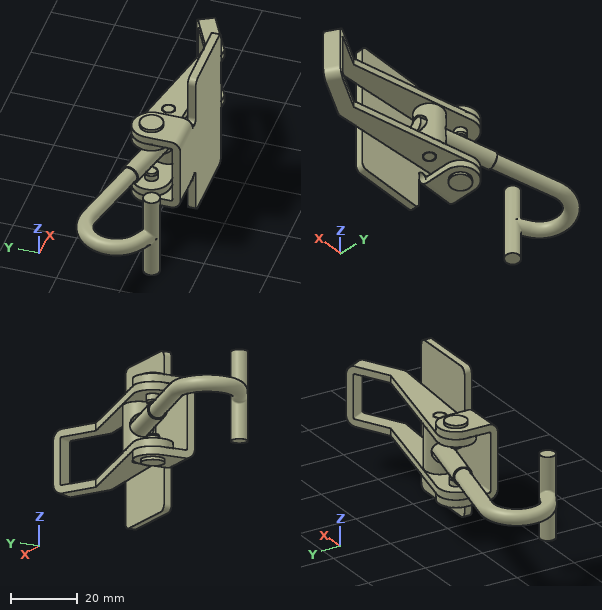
import math

import cadquery as cq

overall_length = 106.1
sheet = 2.5
bend_radius = 3.2
inner_bend_radius = bend_radius - sheet
ear_radius = 6.0

plate_height = 50.0
plate_start_x = 9.0
plate_end_x = 34.0
plate_corner_radius = 2.0
bracket_back_y = -11.0

lever_width = 20.0
knee_x = 43.7
knee_y = -9.0
handle_angle = 28.0
handle_width = 5.3
knee_shift = 2.1

rivet_shank_radius = 2.0
rivet_head_radius = 3.6
rivet_head_height = 1.0
rivet_stub = 2.5
rivet_tip_length = 0.6
rivet_tip_inset = 0.3

trunnion_x = 11.9
trunnion_y = -1.6
trunnion_radius = 5.0
trunnion_end_gap = 0.2
journal_radius = 1.8
journal_hole_radius = 2.0
trunnion_bore_radius = 3.7

rod_radius = 2.5
thick_rod_radius = 3.0
rod_angle = 13.6
thick_rod_length = 22.4
bend_distance = 45.6
hook_radius = 9.5
hook_sweep = 165.0
hook_tail = 5.3
bar_oversize = 0.02
bar_length = 27.8
bar_weld_radius = 0.5

bracket_width = lever_width + 2 * sheet
lever_inner_width = lever_width - 2 * sheet
bar_radius = rod_radius + bar_oversize


def polar(origin, distance, angle):
    """Point at a distance and an angle (degrees) from an origin in XY."""
    radians = math.radians(angle)
    return (
        origin[0] + distance * math.cos(radians),
        origin[1] + distance * math.sin(radians),
    )


def z_cylinder(center, radius, length):
    """Cylinder along Z, centred on the symmetry plane."""
    return (
        cq.Workplane("XY", origin=(center[0], center[1], -length / 2))
        .circle(radius)
        .extrude(length)
    )


pivot = (0.0, 0.0)
trunnion_center = (trunnion_x, trunnion_y)
rod_heading = 180.0 - rod_angle
bend_start = polar(trunnion_center, bend_distance, rod_heading)
bend_center = polar(bend_start, hook_radius, rod_heading + 90)
bend_start_angle = rod_heading - 90
bend_middle = polar(bend_center, hook_radius, bend_start_angle + hook_sweep / 2)
bend_end = polar(bend_center, hook_radius, bend_start_angle + hook_sweep)
bar_center = polar(bend_end, hook_tail, rod_heading + hook_sweep)

lever_tip_x = bend_center[0] - hook_radius - rod_radius + overall_length
handle_length = (lever_tip_x - knee_x) / math.cos(math.radians(handle_angle))


def make_bracket():
    back_depth = -bracket_back_y
    channel_depth = back_depth + ear_radius
    channel_center_y = (ear_radius + bracket_back_y) / 2
    channel = (
        cq.Workplane("XY")
        .box(2 * ear_radius, channel_depth, bracket_width)
        .translate((0, channel_center_y, 0))
        .edges("|X and <Y")
        .fillet(bend_radius)
    )
    channel_space = (
        cq.Workplane("XY")
        .box(2 * ear_radius, channel_depth, lever_width)
        .translate((0, channel_center_y + sheet, 0))
        .edges("|X and <Y")
        .fillet(inner_bend_radius)
    )
    ear_outline = (
        z_cylinder(pivot, ear_radius, bracket_width)
        .union(
            cq.Workplane("XY")
            .box(2 * ear_radius, back_depth, bracket_width)
            .translate((0, bracket_back_y / 2, 0))
        )
    )
    ears = channel.cut(channel_space).intersect(ear_outline)

    neck_length = plate_start_x - ear_radius
    neck_center_x = ear_radius + neck_length / 2
    notch_radius = neck_length / 2
    notch_center_z = bracket_width / 2 - bend_radius + notch_radius
    neck = (
        cq.Workplane("XY")
        .box(neck_length, sheet, 2 * notch_center_z)
        .translate((neck_center_x, bracket_back_y + sheet / 2, 0))
    )
    notches = (
        cq.Workplane("XZ", origin=(neck_center_x, bracket_back_y + sheet, 0))
        .pushPoints([(0, notch_center_z), (0, -notch_center_z)])
        .circle(notch_radius)
        .extrude(sheet)
    )
    plate_length = plate_end_x - plate_start_x
    plate = (
        cq.Workplane("XY")
        .box(plate_length, sheet, plate_height)
        .edges("|Y")
        .fillet(plate_corner_radius)
        .translate((plate_start_x + plate_length / 2, bracket_back_y + sheet / 2, 0))
    )
    rivet_holes = z_cylinder(pivot, rivet_shank_radius, bracket_width)
    return ears.union(neck.cut(notches)).union(plate).cut(rivet_holes)


def tangent_point(point, side):
    """Where a line from a point touches the rounded pivot end of the lever."""
    distance = math.hypot(*point)
    bearing = math.degrees(math.atan2(point[1], point[0]))
    opening = math.degrees(math.acos(ear_radius / distance))
    return polar(pivot, ear_radius, bearing + side * opening)


def make_lever():
    lower_knee = (knee_x, knee_y)
    lower_tip = polar(lower_knee, handle_length, handle_angle)
    upper_tip = polar(lower_tip, handle_width, handle_angle + 90)
    upper_knee = polar(upper_tip, knee_shift - handle_length, handle_angle)
    blank = (
        cq.Workplane("XY", origin=(0, 0, -lever_width / 2))
        .moveTo(*tangent_point(lower_knee, -1))
        .lineTo(*lower_knee)
        .lineTo(*lower_tip)
        .lineTo(*upper_tip)
        .lineTo(*upper_knee)
        .lineTo(*tangent_point(upper_knee, 1))
        .threePointArc((-ear_radius, 0), tangent_point(lower_knee, -1))
        .close()
        .extrude(lever_width)
    )
    space_length = 1.5 * overall_length
    space = (
        cq.Workplane("XY")
        .box(space_length, overall_length, lever_inner_width)
        .edges("|Y and >X")
        .fillet(inner_bend_radius)
        .translate((-sheet - space_length / 2, 0, 0))
        .rotate((0, 0, 0), (0, 0, 1), handle_angle)
        .translate((lower_tip[0], lower_tip[1], 0))
    )
    tip_corners = cq.selectors.BoxSelector(
        (upper_tip[0] - sheet, lower_tip[1] - sheet, -lever_width),
        (lower_tip[0] + sheet, upper_tip[1] + sheet, lever_width),
    )
    along_tip = cq.Vector(upper_tip[0] - lower_tip[0], upper_tip[1] - lower_tip[1], 0)
    return (
        blank
        .edges(cq.selectors.ParallelDirSelector(along_tip))
        .edges(tip_corners)
        .fillet(bend_radius)
        .cut(space)
        .cut(z_cylinder(pivot, rivet_shank_radius, lever_width))
        .cut(z_cylinder(trunnion_center, journal_hole_radius, lever_width))
    )


def make_rivet(side):
    """Headed rivet on the +Z (side 1) or -Z (side -1) ear."""
    head_seat = bracket_width / 2
    stub_end = lever_inner_width / 2 - rivet_stub
    profile = [
        (0, stub_end),
        (rivet_shank_radius - rivet_tip_inset, stub_end),
        (rivet_shank_radius, stub_end + rivet_tip_length),
        (rivet_shank_radius, head_seat),
        (rivet_head_radius, head_seat),
        (rivet_head_radius, head_seat + rivet_head_height),
        (0, head_seat + rivet_head_height),
    ]
    return (
        cq.Workplane("XZ")
        .polyline([(radius, side * z) for radius, z in profile])
        .close()
        .revolve(360, (0, 0, 0), (0, 1, 0))
    )


def rod_plane(distance):
    """Plane square to the rod, facing along it toward the hook."""
    start = polar(trunnion_center, distance, rod_heading)
    heading = polar((0, 0), 1, rod_heading)
    return cq.Plane(origin=(*start, 0), xDir=(0, 0, 1), normal=(*heading, 0))


def make_trunnion():
    bore = (
        cq.Workplane(rod_plane(-2 * trunnion_radius))
        .circle(trunnion_bore_radius)
        .extrude(4 * trunnion_radius)
    )
    barrel_length = lever_inner_width - 2 * trunnion_end_gap
    return (
        z_cylinder(trunnion_center, trunnion_radius, barrel_length)
        .union(z_cylinder(trunnion_center, journal_radius, lever_width))
        .cut(bore)
    )


def make_hook():
    center_line = (
        cq.Workplane("XY")
        .moveTo(*polar(trunnion_center, thick_rod_length, rod_heading))
        .lineTo(*bend_start)
        .threePointArc(bend_middle, bend_end)
        .lineTo(*bar_center)
    )
    thin_rod = (
        cq.Workplane(rod_plane(thick_rod_length))
        .circle(rod_radius)
        .sweep(center_line)
    )
    thick_rod = (
        cq.Workplane(rod_plane(-trunnion_radius))
        .circle(thick_rod_radius)
        .extrude(trunnion_radius + thick_rod_length)
    )
    bar = z_cylinder(bar_center, bar_radius, bar_length)
    weld_region = cq.selectors.BoxSelector(
        (bar_center[0] - bar_radius, bar_center[1] - bar_radius, -bar_radius),
        (bar_center[0] + bar_radius, bar_center[1] + bar_radius, bar_radius),
    )
    bent_rod = thin_rod.union(bar).edges(weld_region).fillet(bar_weld_radius)
    return bent_rod.union(thick_rod)


bracket = make_bracket()
lever = make_lever()
rivets = [make_rivet(side) for side in (1, -1)]
trunnion = make_trunnion()
hook = make_hook()

result = cq.Compound.makeCompound(
    [
        bracket.val(),
        lever.val(),
        *[rivet.val() for rivet in rivets],
        trunnion.val(),
        hook.val(),
    ]
)